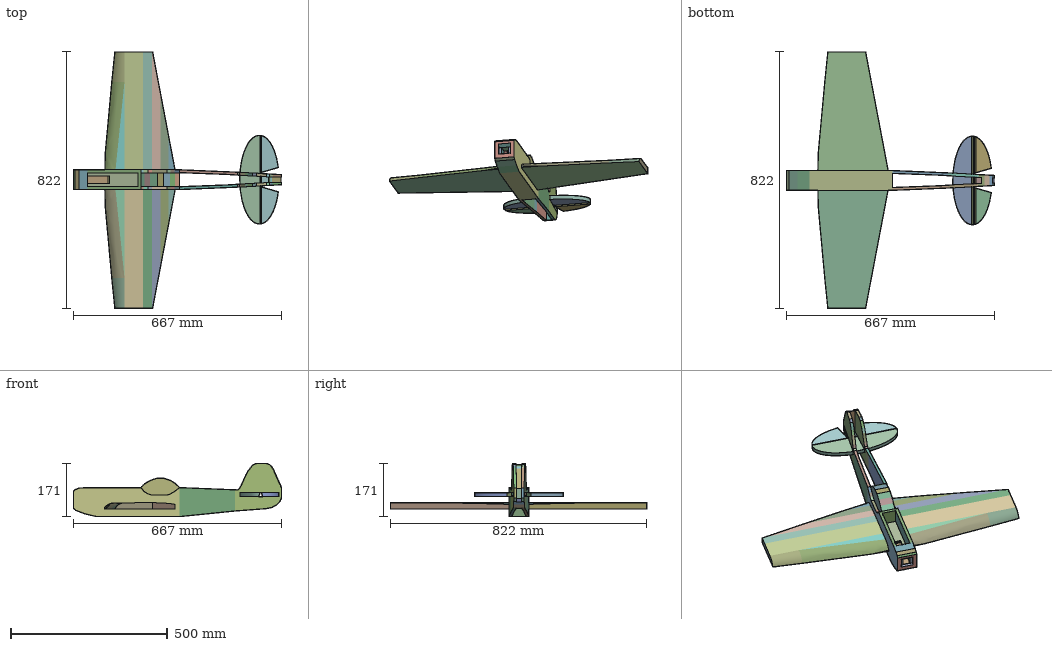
import cadquery as cq

CENTRE_Y = 1.2
HALF_WIDTH = 32.0
WALL = 10.0
DECK_Z = 94.0
TAPER_X = 340.0
STERN_X = 517.5
TAIL_X = 667.0
FIN_TOP_Z = 171.0
STERN_HALF_WIDTH = 25.0
TAIL_HALF_WIDTH = 16.5
INNER_HALF_WIDTH = HALF_WIDTH - WALL
KINK_X = 493.0
KINK_INNER_HALF_WIDTH = 16.5
STERN_INNER_HALF_WIDTH = 15.0
POST_X = 624.0
POST_INNER_HALF_WIDTH = 9.0
TAIL_INNER_HALF_WIDTH = 8.0
POST_INSET = 2.0

BELLY_POINTS = [(0, 26.0), (8.0, 20.0), (37.0, 9.0), (74.0, 0), (TAPER_X, 0), (STERN_X, 18.0), (616.0, 25.5)]
STERN_CURVE_POINTS = [(636.0, 29.5), (650.5, 38.0), (661.0, 48.5), (TAIL_X, 60.0)]
FIN_POINTS = [
    (TAIL_X, 93.0), (639.0, 155.0), (634.0, 162.0), (627.5, 167.5), (618.5, FIN_TOP_Z), (586.0, FIN_TOP_Z),
    (574.0, 166.0), (558.5, 146.0), (550.0, 131.0), (537.0, 101.0), (531.5, 90.0), (526.0, 86.0),
]
NOSE_TOP_POINTS = [(TAPER_X, DECK_Z), (45.0, DECK_Z), (18.0, 92.0), (6.0, 87.0), (0, 82.0)]
SIDE_PROFILE = BELLY_POINTS + STERN_CURVE_POINTS + FIN_POINTS + NOSE_TOP_POINTS

BAY_FRONT_X = 45.0
BAY_REAR_X = 207.0
BAY_FLOOR_Z = 47.0
RECESS_DEPTH = 9.0
RECESS_BOTTOM_Z = 40.0
RECESS_TOP_Z = 74.0
RECESS_HALF_WIDTH = 20.0
CHANNEL_HALF_WIDTH = 11.5
CHANNEL_BOTTOM_Z = 42.0
CHANNEL_TOP_Z = 64.0
CHANNEL_END_X = 110.0
LEDGE_END_X = 115.0
LEDGE_Z = 43.5

CANOPY_FRONT_X = 216.0
CANOPY_TOP_POINTS = [
    (CANOPY_FRONT_X, DECK_Z), (228.0, 106.0), (246.5, 117.0), (269.0, 124.0),
    (288.0, 124.0), (310.5, 117.0), (325.0, 108.0), (TAPER_X, DECK_Z),
]
CANOPY_DIP_POINTS = [
    (324.5, 81.0), (312.0, 74.0), (300.0, 69.0), (253.0, 69.0), (238.0, 73.0), (226.0, 81.0), (CANOPY_FRONT_X, DECK_Z),
]

HALF_SPAN = 411.0
WING_BOTTOM_Z = 25.0
SPAR_X = 164.0
SPAR_Z = 44.0
TOP_POINTS = [(SPAR_X, SPAR_Z), (224.0, 45.0), (253.0, 45.0), (280.0, 44.0), (305.5, 43.0), (332.0, 39.0)]
TRAILING_ROOT_X = 332.0
TRAILING_TIP_X = 254.0
SEAM_Y = 314.0
LEADING_ROOT_X = 94.0
LEADING_SEAM_X = 122.0
LEADING_TIP_X = 132.0
ROOT_JOINT_X = 132.0
CURVE_MID_X = 0.46
CURVE_MID_Z = 0.8
BLUNT_ROOT_X = 99.0
BLUNT_END_X = 102.0
BLUNT_END_Y = 89.0

TAILPLANE_X = 595.5
TAILPLANE_CHORD_RADIUS = 63.0
TAILPLANE_HALF_SPAN = 142.0
TAILPLANE_BOTTOM_Z = 64.0
TAILPLANE_THICKNESS = 13.0
HINGE_X = 600.0
HINGE_TOP_HALF_GAP = 1.2
HINGE_BOTTOM_HALF_GAP = 6.5
NOTCH_FRONT_X = 604.5
NOTCH_FRONT_Y = 24.0
NOTCH_REAR_Y = 39.5

CLEARANCE = 8.0


def side_prism(points, y_from, y_to):
    """Prism with an XZ outline that spans from y_from to y_to."""
    return cq.Workplane("XZ", origin=(0, y_from, 0)).polyline(points).close().extrude(y_from - y_to)


def plan_prism(points, z_from, z_to):
    """Prism with an XY outline that spans from z_from to z_to."""
    return cq.Workplane("XY", origin=(0, 0, z_from)).polyline(points).close().extrude(z_to - z_from)


def mirrored_outline(points):
    """Closed XY outline made of points on the +Y side and their mirror images."""
    return points + [(x, -y) for x, y in reversed(points)]


def box_between(x_from, x_to, half_width, z_from, z_to):
    """Box centred on the centre plane."""
    outline = mirrored_outline([(x_from, half_width), (x_to, half_width)])
    return plan_prism(outline, z_from, z_to)


def make_hull():
    """Solid fuselage and fin, tapering towards the tail."""
    plan = mirrored_outline([
        (0, HALF_WIDTH),
        (TAPER_X, HALF_WIDTH),
        (STERN_X, STERN_HALF_WIDTH),
        (TAIL_X, TAIL_HALF_WIDTH),
    ])
    side = side_prism(SIDE_PROFILE, -HALF_WIDTH, HALF_WIDTH)
    return side.intersect(plan_prism(plan, 0, FIN_TOP_Z))


def make_tail_hollow():
    """Open space between the side walls, from the canopy to the tail end."""
    plan = mirrored_outline([
        (TAPER_X, INNER_HALF_WIDTH),
        (KINK_X, KINK_INNER_HALF_WIDTH),
        (STERN_X, STERN_INNER_HALF_WIDTH),
        (POST_X, POST_INNER_HALF_WIDTH),
        (TAIL_X + CLEARANCE, TAIL_INNER_HALF_WIDTH),
    ])
    return plan_prism(plan, -CLEARANCE, FIN_TOP_Z + CLEARANCE)


def make_rudder_post(tail_hollow):
    """Post that fills the rear end of the hollow, set slightly below and ahead of the edges of the walls."""
    side = side_prism(SIDE_PROFILE, -HALF_WIDTH, HALF_WIDTH)
    rear = box_between(POST_X, TAIL_X, HALF_WIDTH, 0, FIN_TOP_Z)
    lowered_side = side.translate((-POST_INSET, 0, -POST_INSET))
    return tail_hollow.intersect(side).intersect(lowered_side).intersect(rear)


def cut_nose_and_bay(hull):
    """Equipment bay, the recess in the nose face and the channel that joins them."""
    recess_profile = [
        (0, RECESS_BOTTOM_Z),
        (RECESS_DEPTH, RECESS_BOTTOM_Z),
        (RECESS_DEPTH, CHANNEL_TOP_Z),
        (0, RECESS_TOP_Z),
    ]
    bay = box_between(BAY_FRONT_X, BAY_REAR_X, INNER_HALF_WIDTH, BAY_FLOOR_Z, DECK_Z + CLEARANCE)
    recess = side_prism(recess_profile, -RECESS_HALF_WIDTH, RECESS_HALF_WIDTH)
    channel = box_between(0, CHANNEL_END_X, CHANNEL_HALF_WIDTH, CHANNEL_BOTTOM_Z, CHANNEL_TOP_Z)
    ledge = box_between(CHANNEL_END_X, LEDGE_END_X, CHANNEL_HALF_WIDTH, LEDGE_Z, CHANNEL_TOP_Z)
    return hull.cut(bay).cut(recess).cut(channel).cut(ledge)


def add_canopy(hull):
    """Faceted canopy between the side walls, which dip beside it."""
    lens = CANOPY_TOP_POINTS + CANOPY_DIP_POINTS[:-1]
    for side in (-1, 1):
        hull = hull.cut(side_prism(lens, side * INNER_HALF_WIDTH, side * HALF_WIDTH))
    return hull.union(side_prism(CANOPY_TOP_POINTS, -INNER_HALF_WIDTH, INNER_HALF_WIDTH))


def leading_edge_section(y, front_x, joint_x):
    """Section of the leading edge at one station: flat bottom, curved front, closed at the spar line."""
    length = joint_x - front_x
    height = SPAR_Z - WING_BOTTOM_Z
    curve_mid = (front_x + CURVE_MID_X * length, WING_BOTTOM_Z + CURVE_MID_Z * height)
    return (
        cq.Workplane("XZ", origin=(0, y, 0))
        .moveTo(front_x, WING_BOTTOM_Z)
        .threePointArc(curve_mid, (joint_x, SPAR_Z))
        .lineTo(joint_x, WING_BOTTOM_Z)
        .close()
        .val()
    )


def make_half_wing():
    """Half wing on the +Y side, starting at the centre plane."""
    section = TOP_POINTS + [(TRAILING_ROOT_X, WING_BOTTOM_Z), (SPAR_X, WING_BOTTOM_Z)]
    main_plan = [(SPAR_X, 0), (TRAILING_ROOT_X, 0), (TRAILING_TIP_X, HALF_SPAN), (SPAR_X, HALF_SPAN)]
    main = side_prism(section, 0, HALF_SPAN).intersect(plan_prism(main_plan, 0, DECK_Z))

    root = leading_edge_section(0, LEADING_ROOT_X, ROOT_JOINT_X)
    seam = leading_edge_section(SEAM_Y, LEADING_SEAM_X, SPAR_X)
    tip = leading_edge_section(HALF_SPAN, LEADING_TIP_X, SPAR_X)
    inner_edge = cq.Workplane(cq.Solid.makeLoft([root, seam], True))
    outer_edge = cq.Workplane(cq.Solid.makeLoft([seam, tip], True))

    filler_plan = [(ROOT_JOINT_X, 0), (SPAR_X, 0), (SPAR_X, SEAM_Y)]
    filler = plan_prism(filler_plan, WING_BOTTOM_Z, SPAR_Z)

    blunt_plan = [
        (LEADING_ROOT_X - CLEARANCE, 0),
        (BLUNT_ROOT_X, 0),
        (BLUNT_END_X, BLUNT_END_Y),
        (LEADING_ROOT_X - CLEARANCE, BLUNT_END_Y),
    ]
    blunt_cut = plan_prism(blunt_plan, 0, DECK_Z)
    return main.union(filler).union(inner_edge.cut(blunt_cut)).union(outer_edge)


def make_tailplane_blank():
    """Elliptical plate that both tail surfaces are cut from."""
    return (
        cq.Workplane("XY", origin=(TAILPLANE_X, 0, TAILPLANE_BOTTOM_Z))
        .ellipse(TAILPLANE_CHORD_RADIUS, TAILPLANE_HALF_SPAN)
        .extrude(TAILPLANE_THICKNESS)
    )


def tail_surface_region(end_x):
    """Part of the tailplane on one side of the V-shaped hinge gap, out to end_x."""
    side = 1 if end_x > HINGE_X else -1
    top_z = TAILPLANE_BOTTOM_Z + TAILPLANE_THICKNESS
    profile = [
        (HINGE_X + side * HINGE_BOTTOM_HALF_GAP, TAILPLANE_BOTTOM_Z),
        (HINGE_X + side * HINGE_TOP_HALF_GAP, top_z),
        (end_x, top_z),
        (end_x, TAILPLANE_BOTTOM_Z),
    ]
    return side_prism(profile, -TAILPLANE_HALF_SPAN, TAILPLANE_HALF_SPAN)


def move_to_fuselage_centre(body):
    """Shift a body built about Y = 0 onto the centre plane of the fuselage."""
    return body.translate((0, CENTRE_Y, 0))


def make_airframe():
    """Fuselage, fin, canopy and wing in one piece, slotted for the tail surfaces."""
    tail_hollow = make_tail_hollow()
    hull = make_hull().cut(tail_hollow).union(make_rudder_post(tail_hollow))
    fuselage = add_canopy(cut_nose_and_bay(hull)).cut(make_tailplane_blank())
    half_wing = make_half_wing()
    wing = half_wing.union(half_wing.mirror("XZ"))
    return move_to_fuselage_centre(fuselage).union(wing)


def make_stabiliser():
    """Fixed front part of the tailplane."""
    return make_tailplane_blank().intersect(tail_surface_region(TAILPLANE_X - TAILPLANE_CHORD_RADIUS))


def make_elevator():
    """Rear part of the tailplane, notched on both sides of the rudder and flush with the fuselage there."""
    rear_x = TAILPLANE_X + TAILPLANE_CHORD_RADIUS
    elevator = make_tailplane_blank().intersect(tail_surface_region(rear_x))

    def half_width_at(x):
        part = (x - STERN_X) / (TAIL_X - STERN_X)
        return STERN_HALF_WIDTH + part * (TAIL_HALF_WIDTH - STERN_HALF_WIDTH)

    slope = (NOTCH_REAR_Y - NOTCH_FRONT_Y) / (rear_x - NOTCH_FRONT_X)
    for side in (-1, 1):
        notch = [
            (NOTCH_FRONT_X, side * half_width_at(NOTCH_FRONT_X)),
            (TAIL_X, side * half_width_at(TAIL_X)),
            (TAIL_X, side * (NOTCH_REAR_Y + slope * (TAIL_X - rear_x))),
            (NOTCH_FRONT_X, side * NOTCH_FRONT_Y),
        ]
        elevator = elevator.cut(plan_prism(notch, 0, DECK_Z))
    return elevator


airframe = make_airframe()
stabiliser = move_to_fuselage_centre(make_stabiliser())
elevator = move_to_fuselage_centre(make_elevator())
result = cq.Compound.makeCompound([
    airframe.solids().val(),
    stabiliser.solids().val(),
    elevator.solids().val(),
])